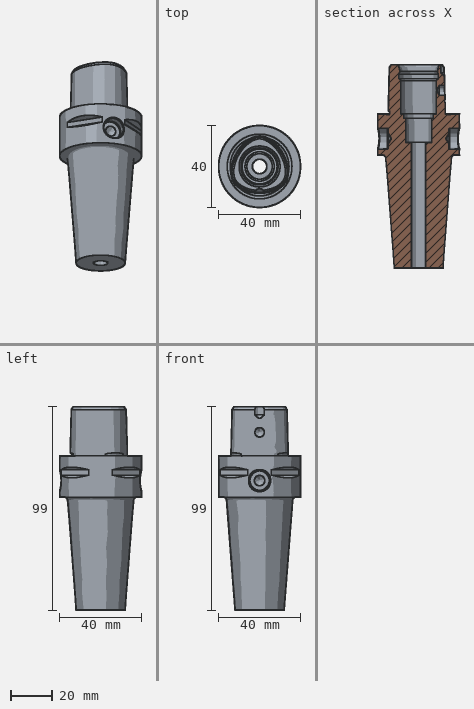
import cadquery as cq
import math

TOTAL_LENGTH = 99.0
SHANK_LENGTH = 24.0
FLANGE_HEIGHT = 20.0
FLANGE_DIAMETER = 40.0
FLANGE_RADIUS = FLANGE_DIAMETER / 2
FLANGE_TOP = TOTAL_LENGTH - SHANK_LENGTH
FLANGE_BOTTOM = FLANGE_TOP - FLANGE_HEIGHT

NOSE_TIP_RADIUS = 12.0
NOSE_TOP_RADIUS = 16.1
NOSE_FILLET = 1.7

SHANK_RADIUS = 14.0
LOBE_OFFSET = 0.9
HALF_TAPER = 1 / 40
SHANK_FOOT_HEIGHT = 1.4
SHANK_FOOT_TOP = FLANGE_TOP + SHANK_FOOT_HEIGHT
SHANK_CHAMFER_HEIGHT = 1.5
SHANK_CHAMFER_WIDTH = 0.9
SHANK_CHAMFER_BASE = TOTAL_LENGTH - SHANK_CHAMFER_HEIGHT
SHANK_TOP_RADIUS = SHANK_RADIUS - HALF_TAPER * (SHANK_CHAMFER_BASE - SHANK_FOOT_TOP)
FACE_COUNT = 6
POINTS_PER_FACE = 7

RELIEF_CENTRE_RADIUS = 15.0
RELIEF_SECTION_RADIUS = 0.94
RELIEF_CENTRE_RISE = 0.6
RELIEF_CENTRE_Z = FLANGE_TOP + RELIEF_CENTRE_RISE

MOUTH_RADIUS = 20.0 / 2
MOUTH_DEPTH = 1.0
LEAD_IN_RADIUS = 9.5
LIP_RADIUS = 18.0 / 2
LIP_DEPTH = 3.3
GROOVE_RADIUS = 9.5
GROOVE_TOP_DEPTH = 4.7
GROOVE_BOTTOM_DEPTH = 6.4
GROOVE_FILLET = GROOVE_RADIUS - LIP_RADIUS
SEAT_RADIUS = 8.5
SEAT_CONE_HEIGHT = 0.8
SEAT_FLOOR_DEPTH = SHANK_LENGTH
COUNTERBORE_RADIUS = 14.3 / 2
COUNTERBORE_LENGTH = 2.0
COUNTERBORE_DEPTH = SEAT_FLOOR_DEPTH + COUNTERBORE_LENGTH
THREAD_RADIUS = 12.4 / 2
THREAD_LENGTH = 11.9
THREAD_DEPTH = COUNTERBORE_DEPTH + THREAD_LENGTH
THROUGH_RADIUS = 6.9 / 2

GRIP_FLOOR_DISTANCE = 17.6
GRIP_FLOOR_HEIGHT = 2.5
GRIP_CENTRE_Z = 67.0
GRIP_WALL_ANGLE = 30

POCKET_DIAMETER = 10.0
POCKET_RIM_CHAMFER = 0.4
POCKET_FLOOR_DIAMETER = 9.4
POCKET_Z = 63.1
POCKET_FLOOR_DISTANCE = 14.85
POCKET_DRILL_DIAMETER = 5.0
DRILL_POINT_HALF_ANGLE = 59

NOTCH_RADIUS = 5.0 / 2
NOTCH_AXIS_Y = -13.4
NOTCH_BASE_Z = 95.1
NOTCH_CONE_HEIGHT = NOTCH_RADIUS
SHANK_HOLE_RADIUS = 4.6 / 2
SHANK_HOLE_Z = 86.5
SHANK_HOLE_FLOOR_DISTANCE = 10.1


def cone_height(radius):
    """Height of a drill point of the given radius."""
    return radius / math.tan(math.radians(DRILL_POINT_HALF_ANGLE))


def lobe_point(radius, angle, z):
    """Point whose tangent line lies radius - e*cos(3a) from the axis, turned so a lobe faces +Y."""
    e = LOBE_OFFSET
    support = radius - e * math.cos(3 * angle)
    slope = 3 * e * math.sin(3 * angle)
    x = support * math.cos(angle) - slope * math.sin(angle)
    y = support * math.sin(angle) + slope * math.cos(angle)
    return cq.Vector(y, -x, z)


def lobe_wire(radius, z):
    """Closed outline of three lobes and three flats."""
    step = 2 * math.pi / FACE_COUNT
    edges = []
    for face in range(FACE_COUNT):
        start = (face - 0.5) * step
        angles = [start + step * i / (POINTS_PER_FACE - 1) for i in range(POINTS_PER_FACE)]
        points = [lobe_point(radius, angle, z) for angle in angles]
        tangents = [cq.Vector(math.cos(a), math.sin(a), 0) for a in (angles[0], angles[-1])]
        edges.append(cq.Edge.makeSpline(points, tangents=tangents))
    return cq.Wire.assembleEdges(edges)


def lobe_section(lower_radius, lower_z, upper_radius, upper_z):
    """Solid ruled between two lobed outlines."""
    wires = [lobe_wire(lower_radius, lower_z), lobe_wire(upper_radius, upper_z)]
    return cq.Workplane(cq.Solid.makeLoft(wires, True))


def revolve_profile(profile):
    """Turn an (r, z) outline about the Z axis."""
    return profile.close().revolve(360, (0, 0, 0), (0, 1, 0))


def make_body():
    """Flange and tapered nose, joined by a concave fillet."""
    return revolve_profile(
        cq.Workplane("XZ")
        .lineTo(NOSE_TIP_RADIUS, 0)
        .lineTo(NOSE_TOP_RADIUS, FLANGE_BOTTOM - NOSE_FILLET)
        .radiusArc((NOSE_TOP_RADIUS + NOSE_FILLET, FLANGE_BOTTOM), NOSE_FILLET)
        .lineTo(FLANGE_RADIUS, FLANGE_BOTTOM)
        .lineTo(FLANGE_RADIUS, FLANGE_TOP)
        .lineTo(0, FLANGE_TOP)
    )


def make_shank():
    """Straight foot, tapered length and chamfered end."""
    foot = lobe_section(SHANK_RADIUS, FLANGE_TOP, SHANK_RADIUS, SHANK_FOOT_TOP)
    taper = lobe_section(SHANK_RADIUS, SHANK_FOOT_TOP, SHANK_TOP_RADIUS, SHANK_CHAMFER_BASE)
    end = lobe_section(
        SHANK_TOP_RADIUS, SHANK_CHAMFER_BASE, SHANK_TOP_RADIUS - SHANK_CHAMFER_WIDTH, TOTAL_LENGTH
    )
    return foot.union(taper).union(end)


def make_relief():
    """Torus that scoops the lobe feet and the flange face."""
    return cq.Workplane(cq.Solid.makeTorus(RELIEF_CENTRE_RADIUS, RELIEF_SECTION_RADIUS)).translate(
        (0, 0, RELIEF_CENTRE_Z)
    )


def make_bore():
    """Mouth, lip, retaining groove, conical seat and stepped holes down to the tip."""

    def at(radius, depth):
        """Profile point from a radius and a depth below the top face."""
        return (radius, TOTAL_LENGTH - depth)

    cone_top = GROOVE_BOTTOM_DEPTH + GROOVE_FILLET
    cone_bottom = cone_top + SEAT_CONE_HEIGHT
    return revolve_profile(
        cq.Workplane("XZ")
        .moveTo(*at(0, 0))
        .lineTo(*at(MOUTH_RADIUS, 0))
        .lineTo(*at(LEAD_IN_RADIUS, MOUTH_DEPTH))
        .lineTo(*at(LIP_RADIUS, LIP_DEPTH))
        .lineTo(*at(GROOVE_RADIUS, GROOVE_TOP_DEPTH))
        .lineTo(*at(GROOVE_RADIUS, GROOVE_BOTTOM_DEPTH))
        .radiusArc(at(LIP_RADIUS, cone_top), GROOVE_FILLET)
        .lineTo(*at(SEAT_RADIUS, cone_bottom))
        .lineTo(*at(SEAT_RADIUS, SEAT_FLOOR_DEPTH))
        .lineTo(*at(COUNTERBORE_RADIUS, SEAT_FLOOR_DEPTH))
        .lineTo(*at(COUNTERBORE_RADIUS, COUNTERBORE_DEPTH))
        .lineTo(*at(THREAD_RADIUS, COUNTERBORE_DEPTH))
        .lineTo(*at(THREAD_RADIUS, THREAD_DEPTH))
        .lineTo(*at(THROUGH_RADIUS, THREAD_DEPTH))
        .lineTo(*at(THROUGH_RADIUS, TOTAL_LENGTH))
        .lineTo(*at(0, TOTAL_LENGTH))
    )


def make_grip_groove():
    """Trapezoidal prism facing +X, running along Y."""
    depth = FLANGE_RADIUS - GRIP_FLOOR_DISTANCE
    half_floor = GRIP_FLOOR_HEIGHT / 2
    half_mouth = half_floor + depth * math.tan(math.radians(GRIP_WALL_ANGLE))
    return (
        cq.Workplane("XZ")
        .moveTo(GRIP_FLOOR_DISTANCE, GRIP_CENTRE_Z - half_floor)
        .lineTo(FLANGE_RADIUS, GRIP_CENTRE_Z - half_mouth)
        .lineTo(FLANGE_RADIUS, GRIP_CENTRE_Z + half_mouth)
        .lineTo(GRIP_FLOOR_DISTANCE, GRIP_CENTRE_Z + half_floor)
        .close()
        .extrude(FLANGE_RADIUS, both=True)
    )


def make_shank_hole():
    """Blind hole with a drill point, entering from -Y and stopping short of the bore."""
    return (
        cq.Workplane("XY")
        .moveTo(0, -SHANK_HOLE_FLOOR_DISTANCE + cone_height(SHANK_HOLE_RADIUS))
        .lineTo(SHANK_HOLE_RADIUS, -SHANK_HOLE_FLOOR_DISTANCE)
        .lineTo(SHANK_HOLE_RADIUS, -FLANGE_RADIUS)
        .lineTo(0, -FLANGE_RADIUS)
        .close()
        .revolve(360, (0, 0, 0), (0, 1, 0))
        .translate((0, 0, SHANK_HOLE_Z))
    )


def make_pocket():
    """Pocket on the -Y side with a chamfered floor corner and a drill point in its floor."""
    radius = POCKET_DIAMETER / 2
    floor_radius = POCKET_FLOOR_DIAMETER / 2
    drill_radius = POCKET_DRILL_DIAMETER / 2
    corner_distance = POCKET_FLOOR_DISTANCE + radius - floor_radius
    return (
        cq.Workplane("XY")
        .moveTo(0, -POCKET_FLOOR_DISTANCE + cone_height(drill_radius))
        .lineTo(drill_radius, -POCKET_FLOOR_DISTANCE)
        .lineTo(floor_radius, -POCKET_FLOOR_DISTANCE)
        .lineTo(radius, -corner_distance)
        .lineTo(radius, -FLANGE_RADIUS)
        .lineTo(0, -FLANGE_RADIUS)
        .close()
        .revolve(360, (0, 0, 0), (0, 1, 0))
        .translate((0, 0, POCKET_Z))
    )


def make_notch():
    """Vertical drilled notch, open at the top face."""
    return revolve_profile(
        cq.Workplane("XZ")
        .moveTo(0, NOTCH_BASE_Z - NOTCH_CONE_HEIGHT)
        .lineTo(NOTCH_RADIUS, NOTCH_BASE_Z)
        .lineTo(NOTCH_RADIUS, TOTAL_LENGTH)
        .lineTo(0, TOTAL_LENGTH)
    ).translate((0, NOTCH_AXIS_Y, 0))


result = make_body().union(make_shank()).cut(make_relief())
result = result.cut(make_bore()).cut(make_notch()).cut(make_shank_hole())
for diagonal in (45, 135, 225, 315):
    result = result.cut(make_grip_groove().rotate((0, 0, 0), (0, 0, 1), diagonal))
for turn in (0, 180):
    result = result.cut(make_pocket().rotate((0, 0, 0), (0, 0, 1), turn))
for direction in (-1, 1):
    rim = cq.NearestToPointSelector((0, direction * FLANGE_RADIUS, POCKET_Z))
    result = result.edges(rim).chamfer(POCKET_RIM_CHAMFER)